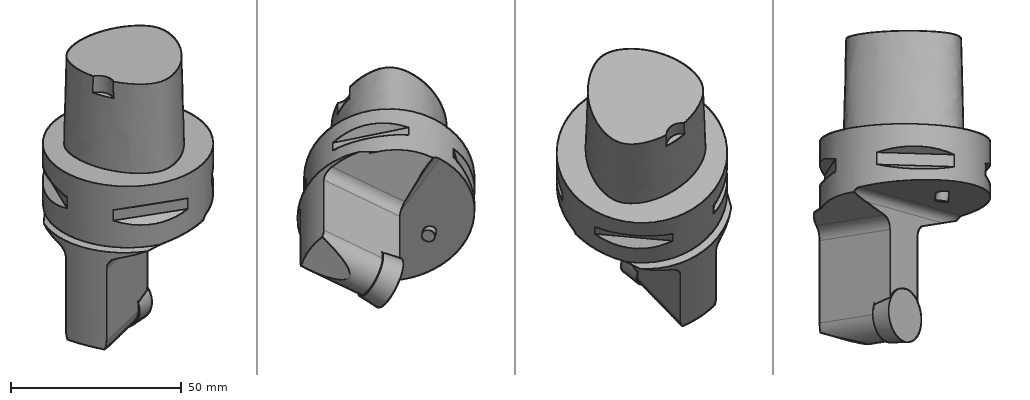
import cadquery as cq
import math

SHANK_HEIGHT = 30.0
SHANK_RADIUS = 17.6
SHANK_LOBE = 1.2
SHANK_NARROWING = 0.7
LOBE_COUNT = 3
SECTION_POINTS = 36

KEY_RADIUS = 4.5
KEY_CENTER_Y = -18.5
KEY_DEPTH = 5.6

FLANGE_RADIUS = 50.0 / 2
RIM_HEIGHT = 19.35
SLOPE_ANGLE = 15
LEDGE_Z = -20.9
LEDGE_DROP = 0.5
BULGE_SHIFT = 2.25

NOTCH_COUNT = 4
NOTCH_FLAT_DISTANCE = 22.2
NOTCH_FLAT_HEIGHT = 3.6
NOTCH_WALL_ANGLE = 30
NOTCH_Z = -10.1
NOTCH_OVERRUN = 1.8

INSERT_RADIUS = 8.0
INSERT_BACK_RADIUS = 7.3
INSERT_THICKNESS = 6.4
TOTAL_HEIGHT = 90
INSERT_Z = SHANK_HEIGHT - TOTAL_HEIGHT + INSERT_RADIUS

BLADE_HALF_WIDTH = 6.75
BLADE_FRONT_Y = -0.45
BLADE_BOTTOM_Z = INSERT_Z - BLADE_HALF_WIDTH
ROOT_FILLET = 4.0

CLEARANCE_EDGE_Z = -16.1
CLEARANCE_ANGLE = 5
CLEARANCE_FILLET = 2.9

RELIEF_START = (-13.8, BLADE_BOTTOM_Z)
RELIEF_MIDDLE = (-21.3, -56.6)
RELIEF_END = (-27.4, -54.5)

NOZZLE_DIAMETER = 4.0
NOZZLE_TILT = 10
NOZZLE_Y = 13.3
NOZZLE_END_Z = -19.5
NOZZLE_LENGTH = 4.5

MARGIN = 4.5


def lobed_point(radius, turn):
    """Point of the constant-width curve with support radius + lobe * cos(3 * (turn - 90))."""
    phase = LOBE_COUNT * (turn - math.pi / 2)
    support = radius + SHANK_LOBE * math.cos(phase)
    change = -LOBE_COUNT * SHANK_LOBE * math.sin(phase)
    x = support * math.cos(turn) - change * math.sin(turn)
    y = support * math.sin(turn) + change * math.cos(turn)
    return (x, y)


def lobed_wire(radius, z):
    points = []
    for i in range(SECTION_POINTS):
        x, y = lobed_point(radius, 2 * math.pi * i / SECTION_POINTS)
        points.append(cq.Vector(x, y, z))
    return cq.Wire.assembleEdges([cq.Edge.makeSpline(points, periodic=True)])


def make_shank():
    bottom = lobed_wire(SHANK_RADIUS, 0)
    top = lobed_wire(SHANK_RADIUS - SHANK_NARROWING, SHANK_HEIGHT)
    shank = cq.Workplane(cq.Solid.makeLoft([bottom, top], True))
    key = (
        cq.Workplane("XY", origin=(0, KEY_CENTER_Y, SHANK_HEIGHT - KEY_DEPTH))
        .circle(KEY_RADIUS)
        .extrude(KEY_DEPTH + MARGIN)
    )
    return shank.cut(key)


def make_side_profile():
    """Flange, sloped underside and round-ended blade as one shape running along Y."""
    slope_drop = (FLANGE_RADIUS - BLADE_HALF_WIDTH) * math.tan(math.radians(SLOPE_ANGLE))
    root_z = -RIM_HEIGHT - slope_drop
    profile = (
        cq.Workplane("XZ")
        .moveTo(-FLANGE_RADIUS, 0)
        .lineTo(FLANGE_RADIUS, 0)
        .lineTo(FLANGE_RADIUS, -RIM_HEIGHT)
        .lineTo(BLADE_HALF_WIDTH, root_z)
        .lineTo(BLADE_HALF_WIDTH, INSERT_Z)
        .threePointArc((0, BLADE_BOTTOM_Z), (-BLADE_HALF_WIDTH, INSERT_Z))
        .lineTo(-BLADE_HALF_WIDTH, root_z)
        .lineTo(-FLANGE_RADIUS, -RIM_HEIGHT)
        .close()
        .extrude(FLANGE_RADIUS + MARGIN, both=True)
    )
    root_edges = cq.selectors.BoxSelector(
        (-BLADE_HALF_WIDTH - MARGIN, -FLANGE_RADIUS, root_z - MARGIN),
        (BLADE_HALF_WIDTH + MARGIN, FLANGE_RADIUS, root_z + MARGIN),
    )
    return profile.edges("|Y").edges(root_edges).fillet(ROOT_FILLET)


def make_round_envelope():
    """Flange cylinder with its lower part shifted toward the back."""
    upper = cq.Workplane("XY").circle(FLANGE_RADIUS).extrude(LEDGE_Z)
    lower_z = LEDGE_Z - LEDGE_DROP
    ledge = (
        cq.Workplane("XY", origin=(0, 0, LEDGE_Z))
        .circle(FLANGE_RADIUS)
        .workplane(offset=-LEDGE_DROP)
        .center(0, -BULGE_SHIFT)
        .circle(FLANGE_RADIUS)
        .loft(ruled=True)
    )
    lower = (
        cq.Workplane("XY", origin=(0, -BULGE_SHIFT, lower_z))
        .circle(FLANGE_RADIUS)
        .extrude(BLADE_BOTTOM_Z - lower_z - MARGIN)
    )
    return upper.union(ledge).union(lower)


def make_clearance():
    """Space in front of the blade and below the flange, rounded in the inner corner."""
    slope = math.tan(math.radians(CLEARANCE_ANGLE))
    outer_y = FLANGE_RADIUS + MARGIN
    outer_z = CLEARANCE_EDGE_Z + MARGIN * slope
    corner_z = CLEARANCE_EDGE_Z - (FLANGE_RADIUS - BLADE_FRONT_Y) * slope
    floor_z = BLADE_BOTTOM_Z - MARGIN
    return (
        cq.Workplane("YZ")
        .moveTo(BLADE_FRONT_Y, corner_z)
        .lineTo(outer_y, outer_z)
        .lineTo(outer_y, floor_z)
        .lineTo(BLADE_FRONT_Y, floor_z)
        .close()
        .extrude(FLANGE_RADIUS + MARGIN, both=True)
        .edges("|X")
        .edges("<Y")
        .edges(">Z")
        .fillet(CLEARANCE_FILLET)
    )


def make_heel_relief():
    return (
        cq.Workplane("YZ")
        .moveTo(*RELIEF_START)
        .threePointArc(RELIEF_MIDDLE, RELIEF_END)
        .lineTo(RELIEF_END[0], BLADE_BOTTOM_Z - MARGIN)
        .lineTo(RELIEF_START[0], BLADE_BOTTOM_Z - MARGIN)
        .close()
        .extrude(BLADE_HALF_WIDTH + MARGIN, both=True)
    )


def make_notch(angle):
    """Straight notch with a flat floor and flared walls, facing the given direction."""
    reach = FLANGE_RADIUS + NOTCH_OVERRUN
    half_floor = NOTCH_FLAT_HEIGHT / 2
    half_mouth = half_floor + (reach - NOTCH_FLAT_DISTANCE) * math.tan(math.radians(NOTCH_WALL_ANGLE))
    return (
        cq.Workplane("XZ", origin=(0, 0, NOTCH_Z))
        .moveTo(NOTCH_FLAT_DISTANCE, -half_floor)
        .lineTo(reach, -half_mouth)
        .lineTo(reach, half_mouth)
        .lineTo(NOTCH_FLAT_DISTANCE, half_floor)
        .close()
        .extrude(FLANGE_RADIUS, both=True)
        .rotate((0, 0, 0), (0, 0, 1), angle)
    )


def make_nozzle():
    """Short pin leaning toward the blade; its upper end is buried in the flange."""
    tilt = math.radians(NOZZLE_TILT)
    direction = cq.Vector(0, math.sin(tilt), math.cos(tilt))
    end = cq.Vector(0, NOZZLE_Y, NOZZLE_END_Z)
    return cq.Workplane(cq.Solid.makeCylinder(NOZZLE_DIAMETER / 2, NOZZLE_LENGTH, end, direction))


def make_insert():
    """Tapered disc whose larger face is the rake face."""
    return cq.Workplane(
        cq.Solid.makeCone(
            INSERT_RADIUS,
            INSERT_BACK_RADIUS,
            INSERT_THICKNESS,
            cq.Vector(0, 0, INSERT_Z),
            cq.Vector(0, -1, 0),
        )
    )


def make_holder(insert):
    holder = make_side_profile().intersect(make_round_envelope())
    holder = holder.cut(make_clearance()).cut(make_heel_relief())
    for i in range(NOTCH_COUNT):
        holder = holder.cut(make_notch((i + 0.5) * 360 / NOTCH_COUNT))
    holder = holder.union(make_shank()).union(make_nozzle())
    return holder.cut(insert)


insert = make_insert()
holder = make_holder(insert)

result = cq.Compound.makeCompound([holder.val(), insert.val()])